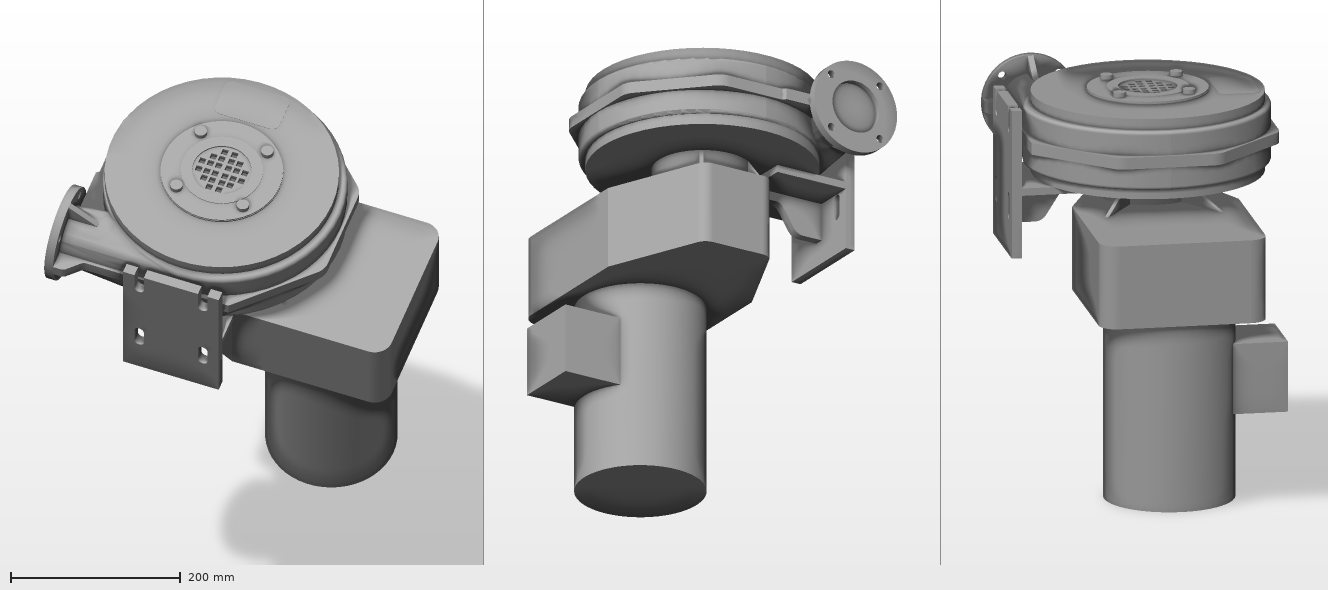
import cadquery as cq
import math


COVER_DIAMETER = 276.0
COVER_HALF_HEIGHT = 49.0
VOLUTE_HALF_HEIGHT = 35.5
VOLUTE_RADII = [141.0, 145.0, 148.5, 149.0]
VOLUTE_EDGE_FILLET = 4.0

RIM_THICKNESS = 14.0
RIM_LEFT = -146.0
RIM_RIGHT = 152.5
RIM_FRONT = -151.0
RIM_BACK = 147.0
RIM_DIAGONAL_LEFT = 209.5
RIM_DIAGONAL_BACK = 211.5
RIM_DIAGONAL_FRONT = 214.8
RIM_CORNER_RADIUS = 23.5
RIM_STEP_Y = -19.5
RIM_STEP_SLANT = 3.5

FLANGE_DIAMETER = 115.0
FLANGE_EDGE_INSET = 0.5
FLANGE_FACE_X = -160.5
FLANGE_BACK_X = -149.5
OUTLET_Y = -112.5
BORE_DIAMETER = 65.0
BORE_DEPTH = 9.5
TUBE_DIAMETER = 70.0
TUBE_CORNER_SPAN = 16
FLANGE_HOLE_DIAMETER = 10.0
FLANGE_HOLE_OFFSET = 33.8
TUBE_RIB_LENGTH = 35.5
TUBE_RIB_THICKNESS = 7.0
FLARE_TIP_X = -136.5
FLARE_FILLET = 9.5

INLET_RING_DIAMETER = 145.0
INLET_STEP_DIAMETER = 144.0
INLET_DISC_DIAMETER = 97.0
GRILLE_DIAMETER = 70.0
INLET_RING_TOP = 50.5
INLET_STEP_TOP = 52.5
INLET_DISC_TOP = 53.5
GRILLE_FLOOR = 51.5
GRILLE_HOLE_SIZE = 7.5
GRILLE_HOLE_BOTTOM = 46.0
GRILLE_OFFSETS = [6.0, 16.5, 26.5]
GRILLE_REACH = 29.0
PIN_DIAMETER = 14.5
PIN_OFFSET = 41.5
PIN_TOP = 58.5

NAME_PLATE_LENGTH = 80.5
NAME_PLATE_WIDTH = 49.5
NAME_PLATE_Y = 103.5
NAME_PLATE_CORNER_RADIUS = 9.5
NAME_PLATE_THICKNESS = 0.5

TOTAL_HEIGHT = 469.0
MOTOR_DIAMETER = 156.0
MOTOR_X = 137.5
BOX_TOP = -76.5
BOX_BOTTOM = -177.2
BOX_LEFT = -78.5
BOX_RIGHT = 242.0
BOX_HALF_WIDTH = 100.0
BOX_TAPER_X = 49.5
BOX_NOSE_HALF_WIDTH = 45.5
BOX_NOSE_FILLET = 16.0
BOX_CORNER_FILLET = 21.5
NECK_DIAMETER = 120.0
NECK_RIB_ANGLE = 33
NECK_RIB_THICKNESS = 4.5
NECK_RIB_LONG_REACH = 126.5
NECK_RIB_SHORT_REACH = 79.5

TERMINAL_SIZE = 85.5
TERMINAL_CENTER_X = 129.5
TERMINAL_BACK_Y = 136.0
TERMINAL_TOP = -220.5

BRACKET_WIDTH = 120.0
BRACKET_TOP = 46.0
BRACKET_BOTTOM = -133.5
BRACKET_FACE_Y = -174.0
BRACKET_THICKNESS = 12.0
SLOT_WIDTH = 11.5
SLOT_X = 40.0
TOP_SLOT_BOTTOM = 15.0
LOW_SLOT_TOP = -58.0
LOW_SLOT_BOTTOM = -90.0
SHELF_INNER_Y = -66.5
SHELF_TOP = -COVER_HALF_HEIGHT
SHELF_BOTTOM = -57.5
WEB_THICKNESS = 12.0
WEB_INNER_Y = -76.5
WEB_STEP_Z = -68.5
WEB_BOTTOM = -104.0
WEB_SLOPE_START_Y = -105.0
WEB_SLOPE_END_Y = -127.5


def cylinder(diameter, bottom, top, x=0.0, y=0.0):
    """Upright cylinder between two heights."""
    return cq.Workplane("XY", origin=(x, y, bottom)).circle(diameter / 2).extrude(top - bottom)


def block(x_range, y_range, z_range):
    """Box given by its limits along each axis."""
    size = [high - low for low, high in (x_range, y_range, z_range)]
    corner = (x_range[0], y_range[0], z_range[0])
    return cq.Workplane("XY").box(*size, centered=False).translate(corner)


def upright_edges_at(x, y):
    """Selector for the vertical edge of a prism nearest to a plan position."""
    return cq.selectors.NearestToPointSelector((x, y, 0))


def polar_point(degrees, radius):
    """Point at an angle and a distance from the sketch origin."""
    angle = math.radians(degrees)
    return (radius * math.cos(angle), radius * math.sin(angle))


def make_volute():
    """Scroll whose radius grows clockwise from the -X side to the -Y side."""
    start = polar_point(180, VOLUTE_RADII[0])
    outline = cq.Workplane("XY", origin=(0, 0, -VOLUTE_HALF_HEIGHT)).moveTo(*start)
    for quarter in range(3):
        inner, outer = VOLUTE_RADII[quarter], VOLUTE_RADII[quarter + 1]
        middle = polar_point(135 - 90 * quarter, (inner + outer) / 2)
        end = polar_point(90 - 90 * quarter, outer)
        outline = outline.threePointArc(middle, end)
    outline = outline.threePointArc(polar_point(225, VOLUTE_RADII[0]), start).close()
    return outline.extrude(2 * VOLUTE_HALF_HEIGHT).faces("|Z").edges().fillet(VOLUTE_EDGE_FILLET)


def make_rim():
    """Bevelled joint plate, running out to the flange at the outlet."""
    flare_tip_y = OUTLET_Y - FLANGE_DIAMETER / 2 + FLANGE_EDGE_INSET
    flare_root_x = FLARE_TIP_X + RIM_FRONT - flare_tip_y
    flare = [(FLARE_TIP_X, flare_tip_y), (flare_root_x, RIM_FRONT)]
    bevels = [
        (RIM_DIAGONAL_FRONT + RIM_FRONT, RIM_FRONT),
        (RIM_RIGHT, RIM_RIGHT - RIM_DIAGONAL_FRONT),
        (RIM_RIGHT, RIM_DIAGONAL_BACK - RIM_RIGHT),
        (RIM_DIAGONAL_BACK - RIM_BACK, RIM_BACK),
        (RIM_BACK - RIM_DIAGONAL_LEFT, RIM_BACK),
        (RIM_LEFT, RIM_LEFT + RIM_DIAGONAL_LEFT),
    ]
    step = [(RIM_LEFT, RIM_STEP_Y), (FLANGE_BACK_X, RIM_STEP_Y - RIM_STEP_SLANT)]
    outline = [(FLANGE_BACK_X, flare_tip_y)] + flare + bevels + step
    rim = cq.Workplane("XY").polyline(outline).close().extrude(RIM_THICKNESS / 2, both=True)
    for corner in flare:
        rim = rim.edges("|Z").edges(upright_edges_at(*corner)).fillet(FLARE_FILLET)
    for corner in bevels[1:]:
        rim = rim.edges("|Z").edges(upright_edges_at(*corner)).fillet(RIM_CORNER_RADIUS)
    return rim


def make_tube():
    """Tube blending from a round end at the flange to a filleted square at X = 0."""
    radius = TUBE_DIAMETER / 2
    half = VOLUTE_HALF_HEIGHT
    flat = half - VOLUTE_EDGE_FILLET
    diagonal = flat + VOLUTE_EDGE_FILLET * math.sqrt(0.5)

    def round_point(degrees):
        return polar_point(degrees, radius)

    tube = cq.Workplane("YZ", origin=(FLANGE_BACK_X, OUTLET_Y, 0))
    tube = tube.moveTo(*round_point(TUBE_CORNER_SPAN / 2 - 45))
    for side in range(0, 360, 90):
        tube = tube.threePointArc(round_point(side), round_point(side + 45 - TUBE_CORNER_SPAN / 2))
        tube = tube.threePointArc(round_point(side + 45), round_point(side + 45 + TUBE_CORNER_SPAN / 2))
    tube = tube.close().workplane(offset=-FLANGE_BACK_X).moveTo(half, -flat)
    for y, z in [(1, 0), (0, 1), (-1, 0), (0, -1)]:
        tube = tube.lineTo(half * y - flat * z, half * z + flat * y)
        tube = tube.threePointArc(
            (diagonal * (y - z), diagonal * (z + y)),
            (flat * y - half * z, flat * z + half * y),
        )
    return tube.close().loft(ruled=True)


def make_outlet():
    """Outlet tube with its flange and the upright ribs between them."""
    flange_plane = cq.Workplane("YZ", origin=(FLANGE_FACE_X, OUTLET_Y, 0))
    flange_thickness = FLANGE_BACK_X - FLANGE_FACE_X
    flange = flange_plane.circle(FLANGE_DIAMETER / 2).extrude(flange_thickness)
    half_flange = FLANGE_DIAMETER / 2 - FLANGE_EDGE_INSET
    rib_end_x = FLANGE_BACK_X + TUBE_RIB_LENGTH
    rib_outline = [
        (FLANGE_BACK_X, half_flange),
        (rib_end_x, VOLUTE_HALF_HEIGHT),
        (rib_end_x, -VOLUTE_HALF_HEIGHT),
        (FLANGE_BACK_X, -half_flange),
    ]
    ribs = (
        cq.Workplane("XZ", origin=(0, OUTLET_Y, 0))
        .polyline(rib_outline).close()
        .extrude(TUBE_RIB_THICKNESS / 2, both=True)
    )
    return flange.union(make_tube()).union(ribs)


def make_outlet_holes():
    """Blind outlet bore and the four bolt holes through the flange."""
    flange_plane = cq.Workplane("YZ", origin=(FLANGE_FACE_X, OUTLET_Y, 0))
    flange_thickness = FLANGE_BACK_X - FLANGE_FACE_X
    bore = flange_plane.circle(BORE_DIAMETER / 2).extrude(BORE_DEPTH)
    bolt_holes = (
        flange_plane.rect(2 * FLANGE_HOLE_OFFSET, 2 * FLANGE_HOLE_OFFSET, forConstruction=True)
        .vertices().circle(FLANGE_HOLE_DIAMETER / 2).extrude(flange_thickness)
    )
    return bore.union(bolt_holes)


def make_inlet():
    """Stepped inlet ring with its recessed grille and four pins."""
    inlet = cylinder(INLET_RING_DIAMETER, COVER_HALF_HEIGHT, INLET_RING_TOP)
    inlet = inlet.union(cylinder(INLET_STEP_DIAMETER, INLET_RING_TOP, INLET_STEP_TOP))
    inlet = inlet.union(cylinder(INLET_DISC_DIAMETER, INLET_STEP_TOP, INLET_DISC_TOP))
    inlet = inlet.cut(cylinder(GRILLE_DIAMETER, GRILLE_FLOOR, INLET_DISC_TOP))
    for x in (-PIN_OFFSET, PIN_OFFSET):
        for y in (-PIN_OFFSET, PIN_OFFSET):
            inlet = inlet.union(cylinder(PIN_DIAMETER, COVER_HALF_HEIGHT, PIN_TOP, x, y))
    return inlet


def make_grille_holes():
    """Square openings that fall inside the round grille."""
    offsets = [sign * offset for offset in GRILLE_OFFSETS for sign in (-1, 1)]
    centers = [(x, y) for x in offsets for y in offsets if math.hypot(x, y) < GRILLE_REACH]
    return (
        cq.Workplane("XY", origin=(0, 0, GRILLE_HOLE_BOTTOM))
        .pushPoints(centers).rect(GRILLE_HOLE_SIZE, GRILLE_HOLE_SIZE)
        .extrude(GRILLE_FLOOR - GRILLE_HOLE_BOTTOM)
    )


def make_name_plate():
    """Thin rounded plate lying on the top cover."""
    return (
        cq.Workplane("XY", origin=(0, NAME_PLATE_Y, COVER_HALF_HEIGHT))
        .rect(NAME_PLATE_LENGTH, NAME_PLATE_WIDTH).extrude(NAME_PLATE_THICKNESS)
        .edges("|Z").fillet(NAME_PLATE_CORNER_RADIUS)
    )


def make_bearing_box():
    """Box between fan and motor, tapering to a narrow nose on the -X side."""
    nose = [(BOX_LEFT, BOX_NOSE_HALF_WIDTH), (BOX_LEFT, -BOX_NOSE_HALF_WIDTH)]
    corners = [(BOX_RIGHT, -BOX_HALF_WIDTH), (BOX_RIGHT, BOX_HALF_WIDTH)]
    outline = nose + [(BOX_TAPER_X, -BOX_HALF_WIDTH)] + corners + [(BOX_TAPER_X, BOX_HALF_WIDTH)]
    box = (
        cq.Workplane("XY", origin=(0, 0, BOX_BOTTOM))
        .polyline(outline).close().extrude(BOX_TOP - BOX_BOTTOM)
    )
    box = box.edges("|Z and <X").fillet(BOX_NOSE_FILLET)
    return box.edges("|Z and >X").fillet(BOX_CORNER_FILLET)


def make_neck():
    """Round neck under the fan with four sloping ribs down to the bearing box."""
    neck = cylinder(NECK_DIAMETER, BOX_TOP, -COVER_HALF_HEIGHT)
    rib_reaches = {
        NECK_RIB_ANGLE: NECK_RIB_LONG_REACH,
        -NECK_RIB_ANGLE: NECK_RIB_LONG_REACH,
        180 - NECK_RIB_ANGLE: NECK_RIB_SHORT_REACH,
        180 + NECK_RIB_ANGLE: NECK_RIB_SHORT_REACH,
    }
    for angle, reach in rib_reaches.items():
        outline = [
            (0, BOX_TOP),
            (reach, BOX_TOP),
            (NECK_DIAMETER / 2, -COVER_HALF_HEIGHT),
            (0, -COVER_HALF_HEIGHT),
        ]
        rib = cq.Workplane("XZ").polyline(outline).close().extrude(NECK_RIB_THICKNESS / 2, both=True)
        neck = neck.union(rib.rotate((0, 0, 0), (0, 0, 1), angle))
    return neck


def make_motor():
    """Motor can with its square terminal box on the +Y side."""
    motor = cylinder(MOTOR_DIAMETER, PIN_TOP - TOTAL_HEIGHT, BOX_BOTTOM, MOTOR_X)
    terminal = block(
        (TERMINAL_CENTER_X - TERMINAL_SIZE / 2, TERMINAL_CENTER_X + TERMINAL_SIZE / 2),
        (0, TERMINAL_BACK_Y),
        (TERMINAL_TOP - TERMINAL_SIZE, TERMINAL_TOP),
    )
    return motor.union(terminal)


def make_slot(x, bottom, top):
    """Upright slot cutter through the bracket plate, round at both ends."""
    length = top - bottom
    return (
        cq.Workplane("XZ", origin=(x, BRACKET_FACE_Y, (top + bottom) / 2))
        .slot2D(length, SLOT_WIDTH, 90).extrude(-BRACKET_THICKNESS)
    )


def make_bracket():
    """Slotted upright plate with a shelf under the volute and a curved web."""
    plate_back_y = BRACKET_FACE_Y + BRACKET_THICKNESS
    half_width = BRACKET_WIDTH / 2
    plate = block((-half_width, half_width), (BRACKET_FACE_Y, plate_back_y), (BRACKET_BOTTOM, BRACKET_TOP))
    for x in (-SLOT_X, SLOT_X):
        plate = plate.cut(make_slot(x, TOP_SLOT_BOTTOM, BRACKET_TOP + SLOT_WIDTH))
        plate = plate.cut(make_slot(x, LOW_SLOT_BOTTOM, LOW_SLOT_TOP))

    shelf = block((-half_width, half_width), (plate_back_y, SHELF_INNER_Y), (SHELF_BOTTOM, SHELF_TOP))
    corner_radii = {
        (WEB_INNER_Y, WEB_STEP_Z): 3.8,
        (WEB_SLOPE_START_Y, WEB_STEP_Z): 11.5,
        (WEB_SLOPE_END_Y, WEB_BOTTOM): 16.5,
    }
    outline = [(plate_back_y, SHELF_BOTTOM), (WEB_INNER_Y, SHELF_BOTTOM)]
    outline += list(corner_radii) + [(plate_back_y, WEB_BOTTOM)]
    web = cq.Workplane("YZ").polyline(outline).close().extrude(WEB_THICKNESS / 2, both=True)
    for (y, z), radius in corner_radii.items():
        corner = cq.selectors.NearestToPointSelector((0, y, z))
        web = web.edges("|X").edges(corner).fillet(radius)
    return plate.union(shelf).union(web)


cover = cylinder(COVER_DIAMETER, -COVER_HALF_HEIGHT, COVER_HALF_HEIGHT)
housing = cover.union(make_volute()).union(make_rim()).union(make_outlet()).cut(make_outlet_holes())
housing = housing.union(make_inlet()).union(make_name_plate()).cut(make_grille_holes())
drive = make_neck().union(make_bearing_box()).union(make_motor())
result = housing.union(drive).union(make_bracket())